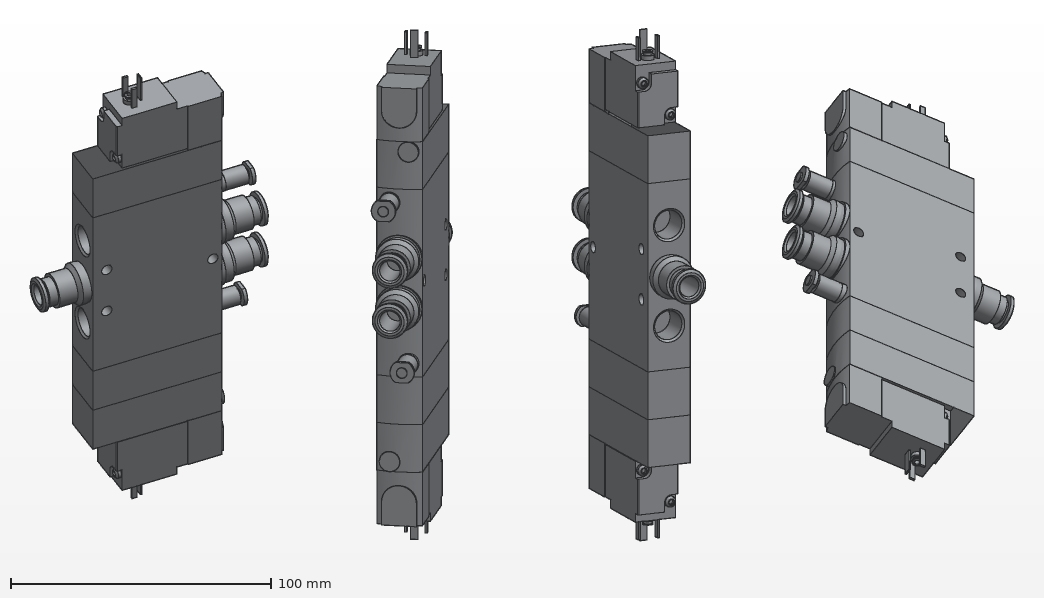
import cadquery as cq

WIDTH = 18.0
PORT_BLOCK_LENGTH = 74.8
END_BLOCK_LENGTH = 19.0
BACK_EDGE_Y = 55.2
CROWN_Y = 56.5
BOSS_FACE_Y = 57.0
BOSS_ROOT_Y = 50.0

PORT_PITCH = 20.0
THREAD_DIAMETER = 13.16
CORE_DIAMETER = 11.45
EXHAUST_PORT_DEPTH = 12.0
SHANK_LENGTH = 6.5
BOSS_DIAMETER = WIDTH
PILOT_PORT_X = 3.65
PILOT_PORT_Z = 32.0
PILOT_CORE_DIAMETER = 4.13
PILOT_SHANK_LENGTH = 4.0
PILOT_BOSS_DIAMETER = 8.0
PILOT_BOSS_FACE_Y = 57.7
MOUNTING_HOLE_DIAMETER = 4.4
MOUNTING_HOLE_FRONT_Y = 6.0
MOUNTING_HOLE_BACK_Y = 51.3

HEAD_WIDTH = 17.8
HEAD_FRONT_Y = 40.8
HEAD_HEIGHT = 21.4
PAD_WIDTH = 13.7
PAD_LENGTH = 16.0
OVERRIDE_DIAMETER = 8.0

COIL_WIDTH = 17.0
COIL_GAP = 0.6
COIL_TOP_STEP = 3.4
COIL_FRONT_Y = 12.8
COIL_BACK_STEP_Y = 36.2
COVER_FRONT_Y = 10.4
COVER_CHAMFER = 0.4
SCREW_X = 5.75
SCREW_EDGE_DISTANCE = 3.6
SCREW_POCKET_RADIUS = 3.0
SCREW_HEAD_DIAMETER = 4.4
SCREW_HEAD_HEIGHT = 2.2
SCREW_HEAD_CHAMFER = 0.9
SCREW_SOCKET_DIAMETER = 2.0
SCREW_SOCKET_DEPTH = 1.2

CONTACT_Y = 20.1
SIDE_CONTACT_X = 4.0
SIDE_CONTACT_SIZE = (0.9, 2.2, 9.0)
EARTH_CONTACT_Y = 24.3
EARTH_CONTACT_SIZE = (3.0, 0.6, 10.8)
POST_BASE_DIAMETER = 5.0
POST_BASE_HEIGHT = 1.8
POST_NECK_DIAMETER = 3.4
POST_HEAD_DIAMETER = 4.13
POST_HEAD_HEIGHT = 0.4
POST_HEIGHT = 3.3
POST_BORE_DIAMETER = 2.01

HEX_DIAMETER = 17.0
HEX_CHAMFER_DIAMETER = 16.4
HEX_CHAMFER_HEIGHT = 1.5
HEX_HEIGHT = 3.7
TAPER_HEIGHT = 5.3
BARREL_DIAMETER = 13.8
BARREL_HEIGHT = 13.0
SLEEVE_DIAMETER = 11.4
SLEEVE_HEIGHT = 16.6
GROOVE_DIAMETER = 9.4
FLANGE_BASE_HEIGHT = 17.7
FLANGE_DIAMETER = 13.7
FLANGE_TOP_HEIGHT = 19.0
FITTING_HEIGHT = 19.6
TUBE_DIAMETER = 8.0
TUBE_DEPTH = 16.0
TUBE_CHAMFER = 0.7

SMALL_BARREL_DIAMETER = 7.8
SMALL_BARREL_HEIGHT = 9.8
SMALL_GROOVE_DIAMETER = 4.4
SMALL_FLANGE_BASE_HEIGHT = 10.9
SMALL_FLANGE_LENGTH = 9.4
SMALL_FLANGE_WIDTH = 8.0
SMALL_FLANGE_TOP_HEIGHT = 12.4
SMALL_TIP_DIAMETER = 4.13
SMALL_FITTING_HEIGHT = 13.0

PORT_BLOCK_TOP = PORT_BLOCK_LENGTH / 2
END_BLOCK_TOP = PORT_BLOCK_TOP + END_BLOCK_LENGTH
HEAD_TOP = END_BLOCK_TOP + HEAD_HEIGHT


def box(x_range, y_range, z_range):
    """Box between two limits along each axis."""
    size = [high - low for low, high in (x_range, y_range, z_range)]
    corner = (x_range[0], y_range[0], z_range[0])
    return cq.Workplane("XY").box(*size, centered=False).translate(corner)


def y_cylinder(diameter, x, z, y_start, y_end):
    """Cylinder along Y between two heights."""
    plane = cq.Plane(origin=(x, y_start, z), xDir=(1, 0, 0), normal=(0, 1, 0))
    return cq.Workplane(plane).circle(diameter / 2).extrude(y_end - y_start)


def z_cylinder(diameter, y, z_start, z_end):
    """Cylinder along Z on the middle plane between two heights."""
    return cq.Workplane("XY", origin=(0, y, z_start)).circle(diameter / 2).extrude(z_end - z_start)


def crowned_block(width, front_y, edge_y, crown_y, z_start, z_end):
    """Block along Z whose back face bulges as an arc across the width."""
    half = width / 2
    return (
        cq.Workplane("XY", origin=(0, 0, z_start))
        .moveTo(-half, front_y)
        .lineTo(half, front_y)
        .lineTo(half, edge_y)
        .threePointArc((0, crown_y), (-half, edge_y))
        .close()
        .extrude(z_end - z_start)
    )


def valve_block(z_start, z_end):
    return crowned_block(WIDTH, 0, BACK_EDGE_Y, CROWN_Y, z_start, z_end)


def exhaust_port(z):
    """Open port: a bore with its mouth countersunk to the thread diameter."""
    countersink = (THREAD_DIAMETER - CORE_DIAMETER) / 2
    profile = [
        (0, 0),
        (THREAD_DIAMETER / 2, 0),
        (CORE_DIAMETER / 2, countersink),
        (CORE_DIAMETER / 2, EXHAUST_PORT_DEPTH),
        (0, EXHAUST_PORT_DEPTH),
    ]
    port = cq.Workplane("XY").polyline(profile).close().revolve(360, (0, 0, 0), (0, 1, 0))
    return port.translate((0, 0, z))


def make_port_block():
    block = valve_block(-PORT_BLOCK_TOP, PORT_BLOCK_TOP)
    sides = (-1, 1)
    ports = [
        (BOSS_DIAMETER, CORE_DIAMETER, 0, PORT_PITCH / 2, BOSS_FACE_Y, SHANK_LENGTH),
        (
            PILOT_BOSS_DIAMETER, PILOT_CORE_DIAMETER, PILOT_PORT_X, PILOT_PORT_Z,
            PILOT_BOSS_FACE_Y, PILOT_SHANK_LENGTH,
        ),
    ]
    for boss_diameter, core_diameter, x, z, face_y, depth in ports:
        for side in sides:
            boss = y_cylinder(boss_diameter, side * x, side * z, BOSS_ROOT_Y, face_y)
            bore = y_cylinder(core_diameter, side * x, side * z, face_y - depth, face_y)
            block = block.union(boss).cut(bore)
    for side in sides:
        block = block.cut(exhaust_port(side * PORT_PITCH))
    block = block.cut(y_cylinder(CORE_DIAMETER, 0, 0, 0, SHANK_LENGTH))
    mounting_holes = (
        cq.Workplane("YZ", origin=(-WIDTH / 2, 0, 0))
        .pushPoints([
            (MOUNTING_HOLE_FRONT_Y, PORT_PITCH / 2),
            (MOUNTING_HOLE_FRONT_Y, -PORT_PITCH / 2),
            (MOUNTING_HOLE_BACK_Y, 0),
        ])
        .circle(MOUNTING_HOLE_DIAMETER / 2)
        .extrude(WIDTH)
    )
    return block.cut(mounting_holes)


def make_spacer():
    return valve_block(-PORT_BLOCK_TOP - END_BLOCK_LENGTH, -PORT_BLOCK_TOP)


def pilot_head():
    """Block on the end of the valve, with a round-ended pad on its back face."""
    head = crowned_block(HEAD_WIDTH, HEAD_FRONT_Y, BACK_EDGE_Y, CROWN_Y, END_BLOCK_TOP, HEAD_TOP)
    half = PAD_WIDTH / 2
    round_z = HEAD_TOP - PAD_LENGTH + half
    pad = box((-half, half), (BOSS_ROOT_Y, BOSS_FACE_Y), (round_z, HEAD_TOP))
    pad = pad.union(y_cylinder(PAD_WIDTH, 0, round_z, BOSS_ROOT_Y, BOSS_FACE_Y))
    return head.union(pad)


def manual_override():
    """Round button on the back of the end block, flush with its outer end."""
    button_z = END_BLOCK_TOP - OVERRIDE_DIAMETER / 2
    return y_cylinder(OVERRIDE_DIAMETER, -PILOT_PORT_X, button_z, BOSS_ROOT_Y, BOSS_FACE_Y)


def screw_pocket(side, screw_z):
    """Corner pocket in the coil cover, open to the side and end, with one rounded corner."""
    screw_x = side * SCREW_X
    inner_x = screw_x - side * SCREW_POCKET_RADIUS
    inner_z = screw_z + side * SCREW_POCKET_RADIUS
    x_limits = sorted((inner_x, side * WIDTH / 2))
    z_limits = sorted((inner_z, screw_z - side * 2 * SCREW_POCKET_RADIUS))
    pocket = box(x_limits, (COVER_FRONT_Y, COIL_FRONT_Y), z_limits)
    corner = cq.selectors.NearestToPointSelector((inner_x, COIL_FRONT_Y, inner_z))
    return pocket.edges("|Y").edges(corner).fillet(SCREW_POCKET_RADIUS)


def cover_screw(x, z):
    head_y = COIL_FRONT_Y - SCREW_HEAD_HEIGHT
    head = y_cylinder(SCREW_HEAD_DIAMETER, x, z, head_y, COIL_FRONT_Y)
    head = head.faces("<Y").chamfer(SCREW_HEAD_CHAMFER)
    socket = y_cylinder(SCREW_SOCKET_DIAMETER, x, z, head_y, head_y + SCREW_SOCKET_DEPTH)
    return head.cut(socket)


def solenoid_coil():
    """Coil housing with a raised end and a front cover held by two corner screws."""
    half = COIL_WIDTH / 2
    base_z = END_BLOCK_TOP + COIL_GAP
    coil = box((-half, half), (COIL_FRONT_Y, HEAD_FRONT_Y), (base_z, HEAD_TOP))
    raised_end = box((-half, half), (COIL_FRONT_Y, COIL_BACK_STEP_Y), (HEAD_TOP, HEAD_TOP + COIL_TOP_STEP))
    cover = box((-half, half), (COVER_FRONT_Y, COIL_FRONT_Y), (base_z, HEAD_TOP))
    cover = cover.faces("<Y").edges("|Z").chamfer(COVER_CHAMFER)
    screws = [(-1, HEAD_TOP - SCREW_EDGE_DISTANCE), (1, base_z + SCREW_EDGE_DISTANCE)]
    for side, screw_z in screws:
        cover = cover.cut(screw_pocket(side, screw_z))
    coil = coil.union(raised_end).union(cover)
    for side, screw_z in screws:
        coil = coil.union(cover_screw(side * SCREW_X, screw_z))
    return coil


def upright_contact(x, y, size):
    """Flat contact standing on the coil end."""
    return cq.Workplane("XY").box(*size, centered=(True, True, False)).translate(
        (x, y, HEAD_TOP + COIL_TOP_STEP)
    )


def contacts():
    """Two side contacts, the earth contact and the post between them."""
    base_z = HEAD_TOP + COIL_TOP_STEP
    post_top = base_z + POST_HEIGHT
    post = z_cylinder(POST_BASE_DIAMETER, CONTACT_Y, base_z, base_z + POST_BASE_HEIGHT)
    post = post.union(z_cylinder(POST_NECK_DIAMETER, CONTACT_Y, base_z, post_top))
    post = post.union(z_cylinder(POST_HEAD_DIAMETER, CONTACT_Y, post_top - POST_HEAD_HEIGHT, post_top))
    post = post.cut(z_cylinder(POST_BORE_DIAMETER, CONTACT_Y, base_z, post_top))
    parts = [post, upright_contact(0, EARTH_CONTACT_Y, EARTH_CONTACT_SIZE)]
    for side in (-1, 1):
        parts.append(upright_contact(side * SIDE_CONTACT_X, CONTACT_Y, SIDE_CONTACT_SIZE))
    return parts


def make_end_unit():
    """Upper end block with its override button, pilot head, coil and contacts."""
    unit = valve_block(PORT_BLOCK_TOP, END_BLOCK_TOP)
    for part in [manual_override(), pilot_head(), solenoid_coil(), *contacts()]:
        unit = unit.union(part)
    return unit


def make_large_fitting():
    """Push-in fitting turned about Z, seated at Z = 0 with its shank below."""
    profile = [
        (0, -SHANK_LENGTH),
        (CORE_DIAMETER / 2, -SHANK_LENGTH),
        (CORE_DIAMETER / 2, 0),
        (HEX_CHAMFER_DIAMETER / 2, 0),
        (HEX_DIAMETER / 2, HEX_CHAMFER_HEIGHT),
        (HEX_DIAMETER / 2, HEX_HEIGHT),
        (BARREL_DIAMETER / 2, TAPER_HEIGHT),
        (BARREL_DIAMETER / 2, BARREL_HEIGHT),
        (SLEEVE_DIAMETER / 2, BARREL_HEIGHT),
        (SLEEVE_DIAMETER / 2, SLEEVE_HEIGHT),
        (GROOVE_DIAMETER / 2, SLEEVE_HEIGHT),
        (GROOVE_DIAMETER / 2, FLANGE_BASE_HEIGHT),
        (FLANGE_DIAMETER / 2, FLANGE_BASE_HEIGHT),
        (FLANGE_DIAMETER / 2, FLANGE_TOP_HEIGHT),
        (SLEEVE_DIAMETER / 2, FITTING_HEIGHT),
        (TUBE_DIAMETER / 2 + TUBE_CHAMFER, FITTING_HEIGHT),
        (TUBE_DIAMETER / 2, FITTING_HEIGHT - TUBE_CHAMFER),
        (TUBE_DIAMETER / 2, FITTING_HEIGHT - TUBE_DEPTH),
        (0, FITTING_HEIGHT - TUBE_DEPTH),
    ]
    return cq.Workplane("XZ").polyline(profile).close().revolve(360, (0, 0, 0), (0, 1, 0))


def make_small_fitting():
    """Push-in fitting along Z, seated at Z = 0, with a release flange flattened on two sides."""
    steps = [
        (PILOT_CORE_DIAMETER, -PILOT_SHANK_LENGTH, 0),
        (SMALL_BARREL_DIAMETER, 0, SMALL_BARREL_HEIGHT),
        (SMALL_GROOVE_DIAMETER, SMALL_BARREL_HEIGHT, SMALL_FLANGE_BASE_HEIGHT),
        (SMALL_TIP_DIAMETER, SMALL_FLANGE_BASE_HEIGHT, SMALL_FITTING_HEIGHT),
    ]
    flange = z_cylinder(SMALL_FLANGE_LENGTH, 0, SMALL_FLANGE_BASE_HEIGHT, SMALL_FLANGE_TOP_HEIGHT)
    flange = flange.intersect(
        cq.Workplane("XY").box(SMALL_FLANGE_LENGTH, SMALL_FLANGE_WIDTH, 2 * SMALL_FITTING_HEIGHT)
    )
    fitting = flange
    for diameter, start, end in steps:
        fitting = fitting.union(z_cylinder(diameter, 0, start, end))
    return fitting


def seat_on_back(fitting, x, seat_y, z):
    """Turn a fitting to point along +Y and seat it on a boss."""
    return fitting.rotate((0, 0, 0), (1, 0, 0), -90).translate((x, seat_y, z))


port_block = make_port_block()
spacer = make_spacer()
upper_end_unit = make_end_unit()
lower_end_unit = upper_end_unit.rotate((0, 0, 0), (0, 1, 0), 180).translate((0, 0, -END_BLOCK_LENGTH))

large_fitting = make_large_fitting()
supply_fitting = large_fitting.rotate((0, 0, 0), (1, 0, 0), 90)
outlet_fittings = [
    seat_on_back(large_fitting, 0, BOSS_FACE_Y, side * PORT_PITCH / 2) for side in (-1, 1)
]

small_fitting = make_small_fitting()
pilot_fittings = [
    seat_on_back(small_fitting, side * PILOT_PORT_X, PILOT_BOSS_FACE_Y, side * PILOT_PORT_Z)
    for side in (-1, 1)
]

bodies = [port_block, spacer, upper_end_unit, lower_end_unit, supply_fitting]
bodies += outlet_fittings + pilot_fittings
result = cq.Compound.makeCompound([body.val() for body in bodies])